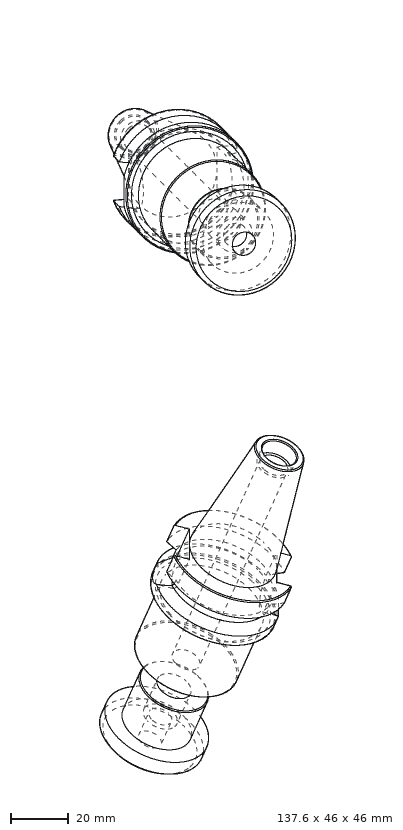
import cadquery as cq

edge_break = 0.4

gauge_diameter = 31.8
gauge_x = 48.5
small_end_diameter = 18.0
taper_ratio = (gauge_diameter - small_end_diameter) / gauge_x

flange_diameter = 46.0
flange_start_x = 49.4
groove_start_x = 57.4
groove_floor_start_x = 59.9
groove_floor_end_x = 63.2
groove_end_x = 65.9
flange_end_x = 70.7
flange_back_radius = 21.0
flange_cone_end_x = 72.3

nose_diameter = 38.0
nose_end_x = 99.4

pull_stud_bore_diameter = 12.5
pull_stud_bore_depth = 6.0
through_bore_diameter = 10.2
bore_chamfer = 0.4

slot_width = 16.1
slot_floor_y = 16.0
slot_end_x = 68.0

plug_start_x = 112.0
plug_end_x = 137.6
plug_diameter = 25.5
plug_bore_diameter = 8.4
plug_mouth_diameter = 12.5
plug_mouth_depth = 14.6
head_diameter = 38.0
head_start_x = 130.3
head_chamfer_length = 1.7
head_chamfer_height = 1.8


def revolve_about_x(profile):
    """Turn a closed profile of (x, radius) points about the X axis."""
    return cq.Workplane("XY").polyline(profile).close().revolve(360, (0, 0, 0), (1, 0, 0))


def bore(start_x, length, diameter):
    """Cylinder along X used to cut an axial hole."""
    return cq.Workplane("YZ", origin=(start_x, 0, 0)).circle(diameter / 2).extrude(length)


def holder_blank():
    """Taper, grooved flange and nose as one solid of revolution."""
    small_end_radius = small_end_diameter / 2
    gauge_radius = gauge_diameter / 2
    flange_radius = flange_diameter / 2
    nose_radius = nose_diameter / 2
    return revolve_about_x([
        (0, 0),
        (0, small_end_radius - edge_break),
        (edge_break, small_end_radius + taper_ratio / 2 * edge_break),
        (gauge_x, gauge_radius),
        (flange_start_x, gauge_radius),
        (flange_start_x, flange_radius - edge_break),
        (flange_start_x + edge_break, flange_radius),
        (groove_start_x, flange_radius),
        (groove_floor_start_x, nose_radius),
        (groove_floor_end_x, nose_radius),
        (groove_end_x, flange_radius),
        (flange_end_x - edge_break, flange_radius),
        (flange_end_x, flange_radius - edge_break),
        (flange_end_x, flange_back_radius),
        (flange_cone_end_x, nose_radius),
        (nose_end_x - edge_break, nose_radius),
        (nose_end_x, nose_radius - edge_break),
        (nose_end_x, 0),
    ])


def drive_slot(side):
    """Round-ended cutter for the flange slot on the +Y (1) or -Y (-1) side."""
    round_center_x = slot_end_x - slot_width / 2
    depth = flange_diameter / 2 - slot_floor_y
    center_y = side * (slot_floor_y + depth / 2)
    straight_length = round_center_x - flange_start_x
    straight = cq.Workplane("XY").box(straight_length, depth, slot_width)
    straight = straight.translate((flange_start_x + straight_length / 2, center_y, 0))
    round_end = cq.Workplane("XZ").circle(slot_width / 2).extrude(depth / 2, both=True)
    return straight.union(round_end.translate((round_center_x, center_y, 0)))


def make_holder():
    holder = holder_blank()
    for side in (-1, 1):
        holder = holder.cut(drive_slot(side))
    holder = holder.cut(bore(0, nose_end_x, through_bore_diameter))
    holder = holder.cut(bore(0, pull_stud_bore_depth, pull_stud_bore_diameter))
    mouth_radius = pull_stud_bore_diameter / 2
    mouth_chamfer = revolve_about_x([
        (0, 0),
        (0, mouth_radius + bore_chamfer),
        (bore_chamfer, mouth_radius),
        (bore_chamfer, 0),
    ])
    return holder.cut(mouth_chamfer)


def make_plug():
    plug_radius = plug_diameter / 2
    head_radius = head_diameter / 2
    plug = revolve_about_x([
        (plug_start_x, 0),
        (plug_start_x, plug_radius - edge_break),
        (plug_start_x + edge_break, plug_radius),
        (head_start_x, plug_radius),
        (head_start_x, head_radius),
        (plug_end_x - head_chamfer_length, head_radius),
        (plug_end_x, head_radius - head_chamfer_height),
        (plug_end_x, 0),
    ])
    plug = plug.cut(bore(plug_start_x, plug_end_x - plug_start_x, plug_bore_diameter))
    return plug.cut(bore(plug_start_x, plug_mouth_depth, plug_mouth_diameter))


holder = make_holder()
plug = make_plug()

result = cq.Compound.makeCompound([holder.val(), plug.val()])